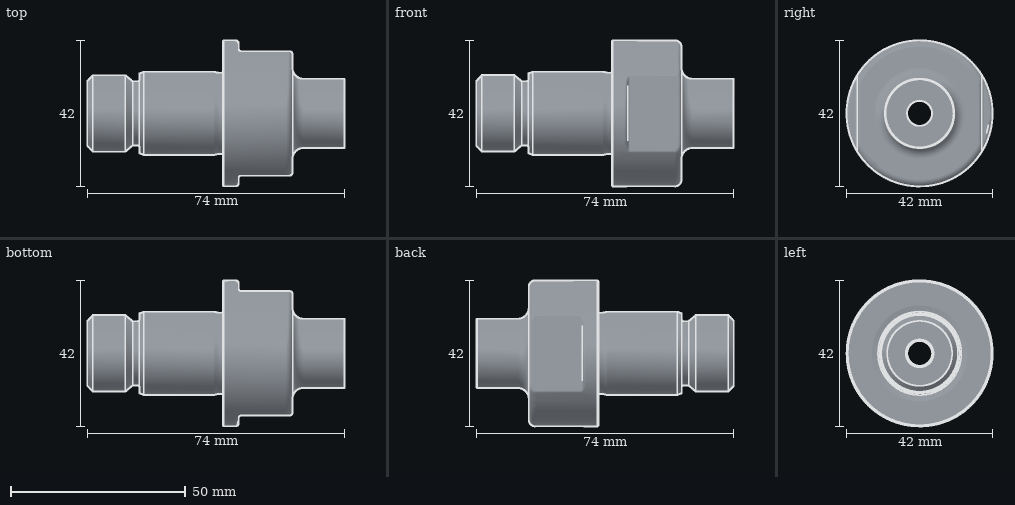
import cadquery as cq
import math

total_length = 74.0
nose_chamfer_length = 1.6
nose_end = 10.95
groove_start = 13.0
groove_end = 14.95
shaft_chamfer_end = 16.3
shaft_end = 36.4
relief_start = 37.75
flange_start = 38.85
flange_end = 59.0

nose_tip_radius = 9.3
nose_radius = 11.0
groove_radius = 9.25
shaft_shoulder_radius = 11.5
shaft_radius = 12.0
relief_radius = 11.7
relief_face_radius = 13.8
flange_radius = 21.0
stub_radius = 10.0
bore_radius = 3.55

groove_fillet = 0.45
relief_fillet = 0.6
relief_depth = 0.2
flange_front_chamfer = 0.4
flange_back_fillet = 2.0
stub_root_fillet = 3.0
stub_chamfer = 0.2
bore_chamfer = 0.45

flat_offset = 17.9
flat_start = 43.5
flat_root_fillet = 0.6
flat_rim_fillet = 0.95


def arc_midpoint(corner, toward_center, radius):
    """Middle of a quarter-round that replaces a square corner between axis-parallel lines."""
    inset = radius * (1 - math.sqrt(0.5))
    return (corner[0] + toward_center[0] * inset, corner[1] + toward_center[1] * inset)


def turned_body():
    """Revolve the half outline, drawn as (axial position, radius), about the X axis."""
    relief_bottom = flange_start + relief_depth
    outline = (
        cq.Workplane("XY")
        .moveTo(0, 0)
        .lineTo(0, nose_tip_radius)
        .lineTo(nose_chamfer_length, nose_radius)
        .lineTo(nose_end, nose_radius)
        .lineTo(groove_start, groove_radius)
        .lineTo(groove_end - groove_fillet, groove_radius)
        .threePointArc(
            arc_midpoint((groove_end, groove_radius), (-1, 1), groove_fillet),
            (groove_end, groove_radius + groove_fillet),
        )
        .lineTo(groove_end, shaft_shoulder_radius)
        .lineTo(shaft_chamfer_end, shaft_radius)
        .lineTo(shaft_end, shaft_radius)
        .lineTo(relief_start, relief_radius)
        .lineTo(relief_bottom - relief_fillet, relief_radius)
        .threePointArc(
            arc_midpoint((relief_bottom, relief_radius), (-1, 1), relief_fillet),
            (relief_bottom, relief_radius + relief_fillet),
        )
        .lineTo(flange_start, relief_face_radius)
        .lineTo(flange_start, flange_radius - flange_front_chamfer)
        .lineTo(flange_start + flange_front_chamfer, flange_radius)
        .lineTo(flange_end - flange_back_fillet, flange_radius)
        .threePointArc(
            arc_midpoint((flange_end, flange_radius), (-1, -1), flange_back_fillet),
            (flange_end, flange_radius - flange_back_fillet),
        )
        .lineTo(flange_end, stub_radius + stub_root_fillet)
        .threePointArc(
            arc_midpoint((flange_end, stub_radius), (1, 1), stub_root_fillet),
            (flange_end + stub_root_fillet, stub_radius),
        )
        .lineTo(total_length - stub_chamfer, stub_radius)
        .lineTo(total_length, stub_radius - stub_chamfer)
        .lineTo(total_length, 0)
        .close()
    )
    return outline.revolve(360, (0, 0, 0), (1, 0, 0))


def flat_cutter(side):
    """Block that clears one flat; its lower front edge leaves a rounded root."""
    overshoot = 3.7
    length = flange_end - flat_start + overshoot
    depth = flange_radius - flat_offset + overshoot
    block = (
        cq.Workplane("XY")
        .box(length, depth, 2 * flange_radius, centered=(False, False, True))
        .edges("|Z and <X and <Y")
        .fillet(flat_root_fillet)
        .translate((flat_start, flat_offset, 0))
    )
    return block if side > 0 else block.mirror("XZ")


def round_flat_rim(part, side):
    """Round the outer edges of one flat and its front wall, leaving the root fillet's edges alone."""
    margin = 0.1
    flat_region = cq.selectors.BoxSelector(
        (flat_start - margin, side * (flat_offset - margin), -flange_radius),
        (flange_end + margin, side * (flange_radius + margin), flange_radius),
        boundingbox=True,
    )
    root_region = cq.selectors.BoxSelector(
        (flat_start - margin, side * (flat_offset - margin), -margin),
        (flat_start + flat_root_fillet + margin, side * (flat_offset + flat_root_fillet + margin), margin),
    )
    root_edges = root_region & cq.selectors.ParallelDirSelector(cq.Vector(0, 0, 1))
    return part.edges(flat_region - root_edges).fillet(flat_rim_fillet)


def bore():
    """Through bore with a chamfered mouth at the nose."""
    mouth_radius = bore_radius + bore_chamfer
    return (
        cq.Workplane("XY")
        .polyline(
            [
                (0, 0),
                (0, mouth_radius),
                (bore_chamfer, bore_radius),
                (total_length, bore_radius),
                (total_length, 0),
            ]
        )
        .close()
        .revolve(360, (0, 0, 0), (1, 0, 0))
    )


body = turned_body()
for side in (1, -1):
    body = body.cut(flat_cutter(side))
    body = round_flat_rim(body, side)

result = body.cut(bore())